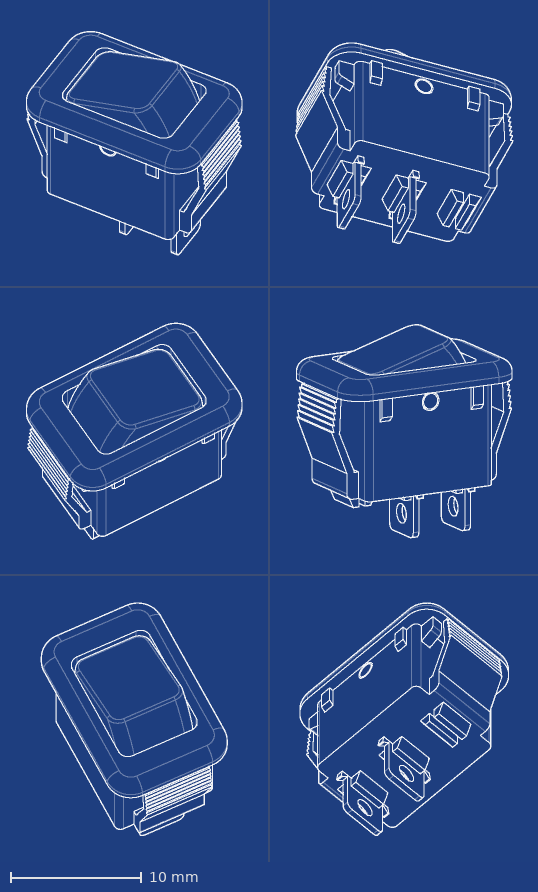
import cadquery as cq
import math


BODY_LENGTH = 11.02
BODY_WIDTH = 8.32
BODY_HEIGHT = 8.2
BODY_CORNER_RADIUS = 0.5

BEZEL_LENGTH = 15.0
BEZEL_WIDTH = 10.0
BEZEL_THICKNESS = 1.5
BEZEL_CORNER_RADIUS = 2.0
BEZEL_EDGE_RADIUS = 1.0
BEZEL_TOP = BODY_HEIGHT + BEZEL_THICKNESS

WELL_LENGTH = 9.58
WELL_WIDTH = 6.62
WELL_CORNER_RADIUS = 0.8
WELL_FLOOR = 4.72

PIVOT_HEIGHT = 7.31
PIVOT_HOLE_RADIUS = 0.72
PIVOT_PIN_RADIUS = 0.61

RIB_WIDTH = 0.9
RIB_BOTTOM = 6.22
SIDE_RIB_OFFSET = 4.0
SIDE_RIB_REACH = 0.35
SIDE_RIB_SLOPE_TOP = 6.62
END_RIB_OFFSET = 3.13
END_RIB_REACH = 1.25
END_RIB_SLOPE_TOP = 6.79
END_RIB_NOSE_RADIUS = 0.4

CLIP_WIDTH = 5.5
CLIP_FOOT_X = 6.55
CLIP_FOOT_RADIUS = 0.5
CLIP_LEDGE_X = 5.87
CLIP_LEDGE_HEIGHT = 2.1
CLIP_KNEE_X = 7.18
CLIP_KNEE_HEIGHT = 5.28
CLIP_TOP = 8.06
CLIP_TOP_INNER_X = 7.05
TOOTH_COUNT = 6
TOOTH_TIP_X = 7.88
TOOTH_TIP_STEP = 0.05
TOOTH_DEPTH = 0.19
TOOTH_PITCH = 0.45
LOWEST_TOOTH_HEIGHT = 5.48
LOWEST_TOOTH_PITCH = 0.52

TERMINAL_PITCH = 4.52
TERMINAL_THICKNESS = 0.5
TERMINAL_HALF_WIDTH = 1.87
TERMINAL_LENGTH = 4.05
TERMINAL_CORNER_RADIUS = 0.5
TERMINAL_HOLE_DIAMETER = 1.51
TERMINAL_HOLE_DEPTH = 2.43
BARB_ROOT_DEPTH = 0.19
BARB_TOP_Y = 2.44
BARB_TIP_Y = 2.55
BARB_TIP_FLAT = 0.1
BARB_TIP_START = 0.66
BARB_DEPTH = 0.74
BOSS_TOP_HALF = 1.25
BOSS_BOTTOM_HALF = 0.75
BOSS_HEIGHT = 1.04
BOSS_WIDTH = 2.98
BOSS_POSITIONS = (-TERMINAL_PITCH, 0, TERMINAL_PITCH)
TERMINAL_POSITIONS = (0, TERMINAL_PITCH)

ROCKER_TILT = 16
ROCKER_WIDTH = 6.3
ROCKER_TOP = 3.42
ROCKER_BOTTOM = -0.7
ROCKER_END_RADIUS = 7.5
ROCKER_END_X = 4.57
ROCKER_CORNER_RADIUS = 1.01
ROCKER_RIM_RADIUS = 0.25


def front_prism(outline, width):
    """Extrude a closed XZ outline to the given width, centred on Y = 0."""
    return cq.Workplane("XZ").polyline(outline).close().extrude(width / 2, both=True)


def pivot_cylinder(radius, height):
    """Cylinder across the full body width on an axis parallel to Y."""
    return cq.Workplane("XZ").center(0, height).circle(radius).extrude(BODY_WIDTH / 2, both=True)


def make_body():
    return (
        cq.Workplane("XY")
        .rect(BODY_LENGTH, BODY_WIDTH)
        .extrude(BODY_HEIGHT)
        .edges("|Z")
        .fillet(BODY_CORNER_RADIUS)
    )


def make_bezel():
    return (
        cq.Workplane("XY", origin=(0, 0, BODY_HEIGHT))
        .rect(BEZEL_LENGTH, BEZEL_WIDTH)
        .extrude(BEZEL_THICKNESS)
        .edges("|Z")
        .fillet(BEZEL_CORNER_RADIUS)
        .faces(">Z")
        .edges()
        .fillet(BEZEL_EDGE_RADIUS)
    )


def make_well():
    return (
        cq.Workplane("XY", origin=(0, 0, WELL_FLOOR))
        .rect(WELL_LENGTH, WELL_WIDTH)
        .extrude(BEZEL_TOP - WELL_FLOOR)
        .edges("|Z")
        .fillet(WELL_CORNER_RADIUS)
    )


def make_side_rib():
    """Rib on the +Y wall at X = 0, sloping back to the wall at its lower end."""
    wall = BODY_WIDTH / 2
    outer = wall + SIDE_RIB_REACH
    outline = [
        (0, BODY_HEIGHT),
        (outer, BODY_HEIGHT),
        (outer, SIDE_RIB_SLOPE_TOP),
        (wall, RIB_BOTTOM),
        (0, RIB_BOTTOM),
    ]
    rib = cq.Workplane("YZ").polyline(outline).close().extrude(RIB_WIDTH / 2, both=True)
    return rib.cut(make_well())


def make_end_rib():
    """Rib on the +X wall near its +Y end, with a rounded nose above a sloping underside."""
    wall = BODY_LENGTH / 2
    outer = wall + END_RIB_REACH
    outline = [
        (wall, BODY_HEIGHT),
        (outer, BODY_HEIGHT),
        (outer, END_RIB_SLOPE_TOP),
        (wall, RIB_BOTTOM),
    ]
    rib = front_prism(outline, RIB_WIDTH)
    nose = cq.selectors.NearestToPointSelector((outer, 0, END_RIB_SLOPE_TOP))
    return rib.edges(nose).fillet(END_RIB_NOSE_RADIUS).translate((0, END_RIB_OFFSET, 0))


def clip_teeth():
    """Outline points of the saw teeth, from the lowest tip up to the root of the top tooth."""
    points = []
    for index in range(TOOTH_COUNT):
        tip_x = TOOTH_TIP_X - index * TOOTH_TIP_STEP
        height = LOWEST_TOOTH_HEIGHT
        if index > 0:
            height += LOWEST_TOOTH_PITCH + (index - 1) * TOOTH_PITCH
        points.append((tip_x, height))
        points.append((tip_x - TOOTH_DEPTH, height))
    return points


def make_clip():
    """Springy snap clip on the +X end, joined to the wall by its foot."""
    wall = BODY_LENGTH / 2
    teeth = clip_teeth()
    top_outer_x = teeth[-1][0]
    outline = [
        (wall, 0),
        (CLIP_FOOT_X, 0),
        (CLIP_FOOT_X, CLIP_LEDGE_HEIGHT),
        *teeth,
        (top_outer_x, CLIP_TOP),
        (CLIP_TOP_INNER_X, CLIP_TOP),
        (CLIP_KNEE_X, CLIP_KNEE_HEIGHT),
        (CLIP_LEDGE_X, CLIP_LEDGE_HEIGHT),
        (wall, CLIP_LEDGE_HEIGHT),
    ]
    foot_corner = cq.selectors.NearestToPointSelector((CLIP_FOOT_X, 0, 0))
    return front_prism(outline, CLIP_WIDTH).edges(foot_corner).fillet(CLIP_FOOT_RADIUS)


def make_boss(x):
    """Tapered boss under the housing, split by a slot for a terminal."""
    outline = [
        (x - BOSS_TOP_HALF, 0),
        (x + BOSS_TOP_HALF, 0),
        (x + BOSS_BOTTOM_HALF, -BOSS_HEIGHT),
        (x - BOSS_BOTTOM_HALF, -BOSS_HEIGHT),
    ]
    slot = (
        cq.Workplane("XY", origin=(x, 0, 0))
        .rect(TERMINAL_THICKNESS, BOSS_WIDTH)
        .extrude(-BOSS_HEIGHT)
    )
    return front_prism(outline, BOSS_WIDTH).cut(slot)


def make_housing():
    housing = make_body().union(make_bezel()).cut(make_well())
    for x in (-SIDE_RIB_OFFSET, SIDE_RIB_OFFSET):
        rib = make_side_rib().translate((x, 0, 0))
        housing = housing.union(rib).union(rib.mirror("XZ"))
    for end_feature in (make_end_rib(), make_clip()):
        housing = housing.union(end_feature).union(end_feature.mirror("YZ"))
    for x in BOSS_POSITIONS:
        housing = housing.union(make_boss(x))
    return housing.cut(pivot_cylinder(PIVOT_HOLE_RADIUS, PIVOT_HEIGHT))


def rocker_end_x(height):
    """Half-length of the rocker at a height above the pivot axis, on its bulging ends."""
    centre_x = ROCKER_END_X - ROCKER_END_RADIUS
    return centre_x + math.sqrt(ROCKER_END_RADIUS**2 - height**2)


def make_rocker():
    """Rocker with bulging ends and two integral pivot pins that end flush with the body walls."""
    top_x = rocker_end_x(ROCKER_TOP)
    bottom_x = rocker_end_x(ROCKER_BOTTOM)
    cap = (
        cq.Workplane("XZ")
        .moveTo(-bottom_x, ROCKER_BOTTOM)
        .lineTo(bottom_x, ROCKER_BOTTOM)
        .threePointArc((ROCKER_END_X, 0), (top_x, ROCKER_TOP))
        .lineTo(-top_x, ROCKER_TOP)
        .threePointArc((-ROCKER_END_X, 0), (-bottom_x, ROCKER_BOTTOM))
        .close()
        .extrude(ROCKER_WIDTH / 2, both=True)
    )
    cap = cap.edges("%CIRCLE").fillet(ROCKER_CORNER_RADIUS)
    cap = cap.faces(">Z").edges().fillet(ROCKER_RIM_RADIUS)
    rocker = cap.union(pivot_cylinder(PIVOT_PIN_RADIUS, 0))
    return rocker.rotate((0, 0, 0), (0, 1, 0), -ROCKER_TILT).translate((0, 0, PIVOT_HEIGHT))


def make_terminal(x):
    """Blade terminal with a barb on each edge, rounded lower corners and a wire hole."""
    right_edge = [
        (TERMINAL_HALF_WIDTH, -TERMINAL_LENGTH),
        (TERMINAL_HALF_WIDTH, -BARB_ROOT_DEPTH),
        (BARB_TIP_Y - BARB_TIP_FLAT, -BARB_DEPTH),
        (BARB_TIP_Y, -BARB_DEPTH),
        (BARB_TIP_Y, -BARB_TIP_START),
        (BARB_TOP_Y, 0),
    ]
    left_edge = [(-y, z) for y, z in reversed(right_edge)]
    blade = (
        cq.Workplane("YZ", origin=(x, 0, 0))
        .polyline(right_edge + left_edge)
        .close()
        .extrude(TERMINAL_THICKNESS / 2, both=True)
    )
    blade = blade.faces("<Z").edges("|X").fillet(TERMINAL_CORNER_RADIUS)
    hole = (
        cq.Workplane("YZ", origin=(x, 0, -TERMINAL_HOLE_DEPTH))
        .circle(TERMINAL_HOLE_DIAMETER / 2)
        .extrude(TERMINAL_THICKNESS / 2, both=True)
    )
    return blade.cut(hole)


housing = make_housing()
rocker = make_rocker()
terminals = [make_terminal(x) for x in TERMINAL_POSITIONS]

result = cq.Compound.makeCompound(
    [housing.val(), rocker.val(), *[terminal.val() for terminal in terminals]]
)